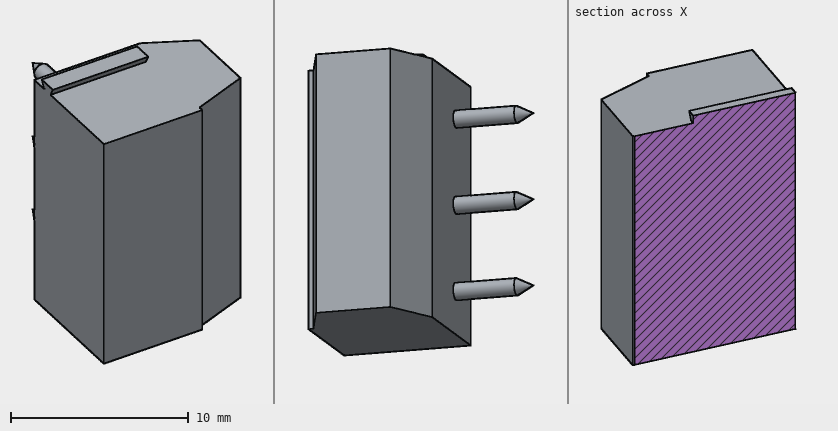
import cadquery as cq

BODY_WIDTH = 7.5
BODY_DEPTH = 10.0
PITCH = 5.0
PIN_COUNT = 3
BODY_HEIGHT = PITCH * PIN_COUNT

LEFT_SLOPE_START_Y = 7.0
LEFT_SLOPE_RUN = 1.5
LEDGE_Y = 6.5
LEDGE_WIDTH = 0.3
RIGHT_SLOPE_RUN = 1.3

RAIL_HEIGHT = 0.49
RAIL_TOP_WIDTH = 1.2
RAIL_BASE_WIDTH = 0.7
RAIL_CENTER_X = 1.4
RAIL_LENGTH = 6.3

PIN_DIAMETER = 1.0
PIN_LENGTH = 4.6
PIN_TIP_LENGTH = 1.0
PIN_Y = 2.7


def make_housing():
    """Prism with a steep slope on each side of its +Y end and a small ledge at +X."""
    ledge_inner_x = BODY_WIDTH - LEDGE_WIDTH
    outline = [
        (0, 0),
        (BODY_WIDTH, 0),
        (BODY_WIDTH, LEDGE_Y),
        (ledge_inner_x, LEDGE_Y),
        (ledge_inner_x - RIGHT_SLOPE_RUN, BODY_DEPTH),
        (LEFT_SLOPE_RUN, BODY_DEPTH),
        (0, LEFT_SLOPE_START_Y),
    ]
    return cq.Workplane("XY").polyline(outline).close().extrude(BODY_HEIGHT)


def make_rail():
    """Dovetail rail, wider at its top, starting at the -Y face."""
    top_z = BODY_HEIGHT + RAIL_HEIGHT
    section = [
        (RAIL_CENTER_X - RAIL_BASE_WIDTH / 2, BODY_HEIGHT),
        (RAIL_CENTER_X + RAIL_BASE_WIDTH / 2, BODY_HEIGHT),
        (RAIL_CENTER_X + RAIL_TOP_WIDTH / 2, top_z),
        (RAIL_CENTER_X - RAIL_TOP_WIDTH / 2, top_z),
    ]
    return cq.Workplane("XZ").polyline(section).close().extrude(-RAIL_LENGTH)


def make_pin(center_z):
    """Round pin with a conical tip, revolved about its own axis along X."""
    radius = PIN_DIAMETER / 2
    half_section = [
        (0, 0),
        (0, radius),
        (PIN_TIP_LENGTH - PIN_LENGTH, radius),
        (-PIN_LENGTH, 0),
    ]
    pin = cq.Workplane("XY").polyline(half_section).close().revolve(360, (0, 0, 0), (1, 0, 0))
    return pin.translate((0, PIN_Y, center_z))


result = make_housing().union(make_rail())
for index in range(PIN_COUNT):
    result = result.union(make_pin(PITCH * (index + 0.5)))